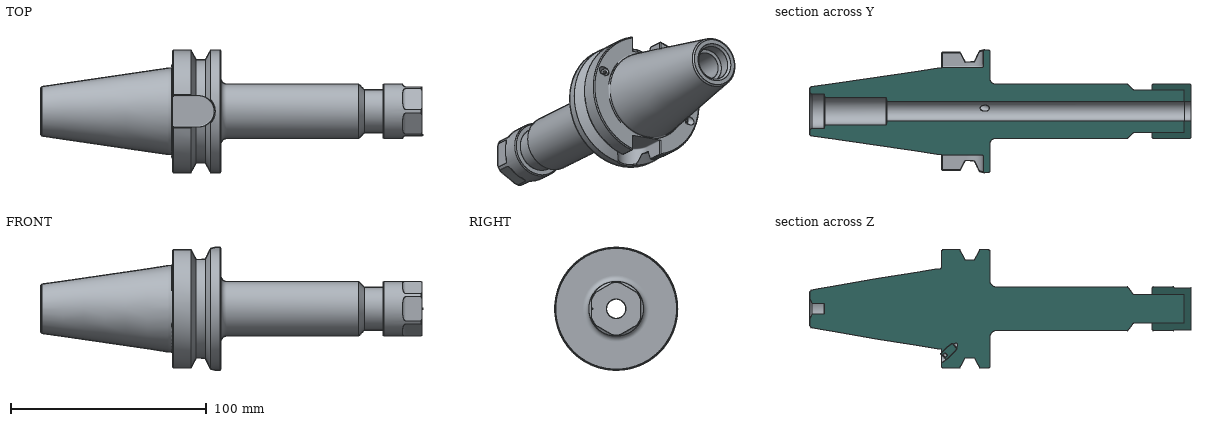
import cadquery as cq
import math

small_end_diameter = 25.5
gauge_diameter = 44.4
taper_length = 65.5
small_end_chamfer = 0.8

flange_diameter = 63.0
flange_start = 67.5
flange_end = 92.3
flange_edge_chamfer = 0.5
taper_root_fillet = 0.5
groove_diameter = 53.0
groove_top_start = 76.8
groove_floor_start = 79.5
groove_floor_end = 84.2
groove_top_end = 87.0

slot_width = 16.0
slot_end = 88.7
slot_floor_height = 22.5
slot_floor_fillet = 0.5
slot_edge_chamfer = 0.5

body_diameter = 28.0
body_fillet = 3.0
body_chamfer_start = 162.6
neck_diameter = 22.0
neck_end = 191.5

countersink_diameter = 19.5
thread_diameter = 17.2
thread_start = 1.2
thread_end = 7.5
drill_diameter = 13.9
drill_end = 39.0
bore_diameter = 9.8
step_cone_angle = 150.0

channel_diameter = 3.3
plug_diameter = 4.1
plug_recess = 1.4
plug_length = 7.8
socket_diameter = 2.0
socket_depth = 2.0
channel_slope = 45.0
channel_entry_radius = 27.0
channel_azimuths = (20.0, 200.0)

nut_diameter = body_diameter
nut_start = 175.0
nut_end = 195.0
overall_length = 195.5
nut_chamfer = 0.5
nut_width_across_flats = 25.0
flats_start = 186.9
flat_runout_radius = 2.0
flat_count = 6

dot_diameter = 0.5
dot_radius = 12.1


def bar(diameter, start, end):
    """Round bar on the X axis."""
    return cq.Workplane("YZ").workplane(offset=start).circle(diameter / 2).extrude(end - start)


def revolved(points):
    """Solid of revolution about the X axis, from (x, radius) points."""
    return cq.Workplane("XY").polyline(points).close().revolve(360, (0, 0, 0), (1, 0, 0))


def housing_blank():
    flange_radius = flange_diameter / 2
    body_radius = body_diameter / 2
    neck_radius = neck_diameter / 2
    small_radius = small_end_diameter / 2
    gauge_radius = gauge_diameter / 2
    root_dip = taper_root_fillet * (1 - math.sqrt(0.5))
    fillet_dip = body_fillet * (1 - math.sqrt(0.5))
    return (
        cq.Workplane("XY")
        .moveTo(0, 0)
        .lineTo(0, small_radius - small_end_chamfer)
        .lineTo(small_end_chamfer, small_radius)
        .lineTo(taper_length, gauge_radius)
        .lineTo(flange_start - taper_root_fillet, gauge_radius)
        .threePointArc(
            (flange_start - root_dip, gauge_radius + root_dip),
            (flange_start, gauge_radius + taper_root_fillet),
        )
        .lineTo(flange_start, flange_radius - flange_edge_chamfer)
        .lineTo(flange_start + flange_edge_chamfer, flange_radius)
        .lineTo(groove_top_start, flange_radius)
        .lineTo(groove_floor_start, groove_diameter / 2)
        .lineTo(groove_floor_end, groove_diameter / 2)
        .lineTo(groove_top_end, flange_radius)
        .lineTo(flange_end - flange_edge_chamfer, flange_radius)
        .lineTo(flange_end, flange_radius - flange_edge_chamfer)
        .lineTo(flange_end, body_radius + body_fillet)
        .threePointArc(
            (flange_end + fillet_dip, body_radius + fillet_dip),
            (flange_end + body_fillet, body_radius),
        )
        .lineTo(body_chamfer_start, body_radius)
        .lineTo(body_chamfer_start + body_radius - neck_radius, neck_radius)
        .lineTo(neck_end, neck_radius)
        .lineTo(neck_end, 0)
        .close()
        .revolve(360, (0, 0, 0), (1, 0, 0))
    )


def drive_slot():
    """Cutter for the +Z slot: flared mouth on the flange face, round far end, rounded floor edges."""
    half_width = slot_width / 2
    mouth_half_width = half_width + slot_edge_chamfer
    mouth_end = flange_start + slot_edge_chamfer
    round_center = slot_end - half_width
    open_end = flange_start - slot_width
    slot_depth = flange_diameter / 2 - slot_floor_height
    return (
        cq.Workplane("XY")
        .workplane(offset=slot_floor_height)
        .moveTo(open_end, -mouth_half_width)
        .lineTo(flange_start, -mouth_half_width)
        .lineTo(mouth_end, -half_width)
        .lineTo(round_center, -half_width)
        .threePointArc((slot_end, 0), (round_center, half_width))
        .lineTo(mouth_end, half_width)
        .lineTo(flange_start, mouth_half_width)
        .lineTo(open_end, mouth_half_width)
        .close()
        .extrude(slot_depth)
        .faces("<Z")
        .edges()
        .fillet(slot_floor_fillet)
    )


def break_slot_edges(housing):
    """Chamfer the slots' edges on the rim, along both walls and around the round end."""
    half_width = slot_width / 2
    rim_radius = flange_diameter / 2
    wall_top = math.sqrt(rim_radius**2 - half_width**2)
    margin = 0.2
    for side in (1, -1):
        wall_edges = cq.selectors.BoxSelector(
            (flange_start + slot_edge_chamfer + margin, -half_width - margin, side * (wall_top - margin)),
            (groove_top_start - margin, half_width + margin, side * (wall_top + margin)),
        )
        round_edge = cq.selectors.BoxSelector(
            (groove_top_end + margin, -half_width, side * (rim_radius - margin)),
            (slot_end + margin, half_width, side * (rim_radius + margin)),
        )
        housing = housing.edges(wall_edges).chamfer(slot_edge_chamfer)
        housing = housing.edges(round_edge).chamfer(slot_edge_chamfer)
    return housing


def stepped_bore():
    thread_radius = thread_diameter / 2
    drill_radius = drill_diameter / 2
    bore_radius = bore_diameter / 2
    cone_slope = math.tan(math.radians(step_cone_angle / 2))
    return revolved([
        (0, 0),
        (0, countersink_diameter / 2),
        (thread_start, thread_radius),
        (thread_end, thread_radius),
        (thread_end + (thread_radius - drill_radius) / cone_slope, drill_radius),
        (drill_end, drill_radius),
        (drill_end + (drill_radius - bore_radius) / cone_slope, bore_radius),
        (neck_end, bore_radius),
        (neck_end, 0),
    ])


def channel_bar(diameter, start, end, azimuth):
    """Round bar on a sloping channel axis, between two distances from its entry point."""
    slope = math.radians(channel_slope)
    inward = cq.Vector(math.cos(slope), 0, -math.sin(slope))
    entry = cq.Vector(flange_start, 0, channel_entry_radius)
    solid = cq.Solid.makeCylinder(diameter / 2, end - start, entry + inward * start, inward)
    return cq.Workplane(solid).rotate((0, 0, 0), (1, 0, 0), azimuth - 90)


def make_housing():
    channel_length = channel_entry_radius / math.sin(math.radians(channel_slope))
    housing = housing_blank().cut(stepped_bore())
    for turn in (0, 180):
        housing = housing.cut(drive_slot().rotate((0, 0, 0), (1, 0, 0), turn))
    housing = break_slot_edges(housing)
    for azimuth in channel_azimuths:
        housing = housing.cut(channel_bar(channel_diameter, 0, channel_length, azimuth))
        housing = housing.cut(channel_bar(plug_diameter, -plug_diameter, plug_recess + plug_length, azimuth))
    return housing


def make_plug_screw(azimuth):
    screw = channel_bar(plug_diameter, plug_recess, plug_recess + plug_length, azimuth)
    return screw.cut(channel_bar(socket_diameter, plug_recess, plug_recess + socket_depth, azimuth))


def flat_cutter():
    """Cutter for the -Y flat, running out of the round nut in a concave arc."""
    flat_y = -nut_width_across_flats / 2
    outside_y = flat_y - flat_runout_radius
    runout_start = flats_start - flat_runout_radius
    arc_drop = flat_runout_radius * math.sqrt(0.5)
    return (
        cq.Workplane("XY")
        .workplane(offset=-nut_diameter / 2)
        .moveTo(nut_end, flat_y)
        .lineTo(flats_start, flat_y)
        .threePointArc((flats_start - arc_drop, outside_y + arc_drop), (runout_start, outside_y))
        .lineTo(nut_end, outside_y)
        .close()
        .extrude(nut_diameter)
    )


def make_nut():
    nut = bar(nut_diameter, nut_start, nut_end).edges().chamfer(nut_chamfer)
    for index in range(flat_count):
        nut = nut.cut(flat_cutter().rotate((0, 0, 0), (1, 0, 0), index * 360 / flat_count))
    nut = nut.cut(bar(neck_diameter, nut_start, neck_end))
    nut = nut.cut(bar(bore_diameter, neck_end, nut_end))
    dot = bar(dot_diameter, neck_end, overall_length).translate((0, -dot_radius, 0))
    return nut.union(dot)


housing = make_housing()
nut = make_nut()
plug_screws = [make_plug_screw(azimuth).val() for azimuth in channel_azimuths]

result = cq.Compound.makeCompound([housing.val(), nut.val(), *plug_screws])